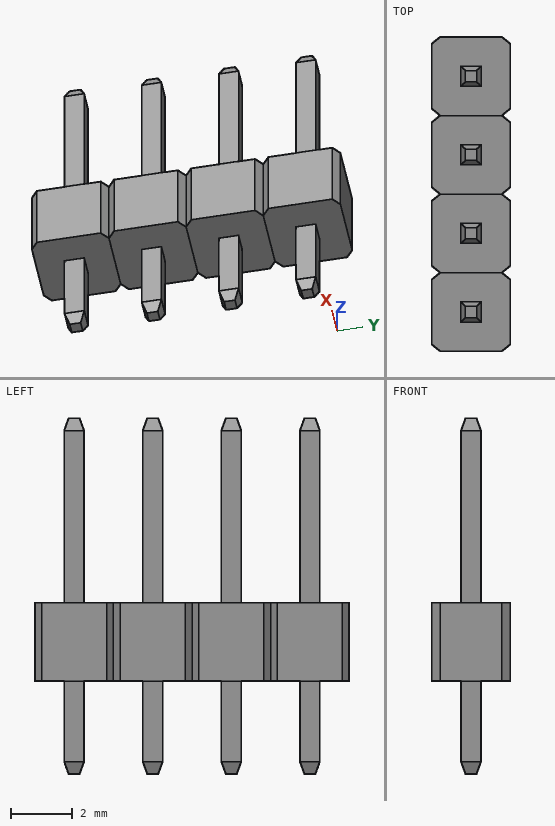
import cadquery as cq

pitch = 2.54
cell_height = 2.54
pin_count = 4
corner_cut_x = 0.27
corner_cut_y = 0.22

pin_width = 0.65
tip_width = 0.36
tip_length = 0.4
pin_length = 11.5
tail_length = 3.0


def make_cell():
    """Block with its four vertical edges cut off, resting on Z = 0."""
    half = pitch / 2
    inner_x = half - corner_cut_x
    inner_y = half - corner_cut_y
    outline = [
        (half, -inner_y),
        (half, inner_y),
        (inner_x, half),
        (-inner_x, half),
        (-half, inner_y),
        (-half, -inner_y),
        (-inner_x, -half),
        (inner_x, -half),
    ]
    return cq.Workplane("XY").polyline(outline).close().extrude(cell_height)


def make_tip(base_z, end_z):
    """Square taper from the full pin width at base_z to the tip width at end_z."""
    return (
        cq.Workplane("XY", origin=(0, 0, base_z))
        .rect(pin_width, pin_width)
        .workplane(offset=end_z - base_z)
        .rect(tip_width, tip_width)
        .loft(ruled=True)
    )


def make_pin():
    """Straight square shaft through the housing with both tips."""
    bottom = -tail_length
    top = bottom + pin_length
    shaft_bottom = bottom + tip_length
    shaft_top = top - tip_length
    shaft = (
        cq.Workplane("XY", origin=(0, 0, shaft_bottom))
        .rect(pin_width, pin_width)
        .extrude(shaft_top - shaft_bottom)
    )
    return shaft.union(make_tip(shaft_bottom, bottom)).union(make_tip(shaft_top, top))


def make_header_unit(y):
    """One header position: a housing cell and its pin as a single solid."""
    return make_cell().union(make_pin()).translate((0, y, 0))


first_y = -pitch * (pin_count - 1) / 2
header_units = [make_header_unit(first_y + i * pitch) for i in range(pin_count)]

result = cq.Compound.makeCompound([unit.val() for unit in header_units])